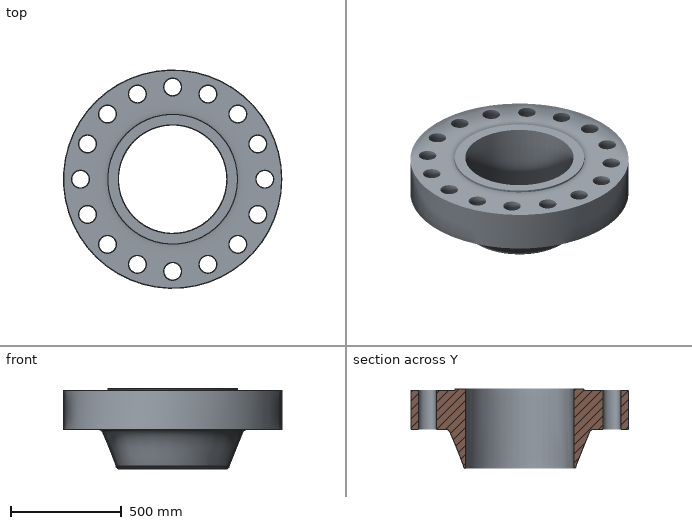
import cadquery as cq
import math

flange_diameter = 984.0
flange_thickness = 176.0
face_diameter = 585.0
face_height = 9.0
bore_diameter = 488.0

total_height = 362.0
neck_end_diameter = 510.0
neck_land_height = 6.0
bevel_height = 8.0
bevel_width = 10.0
cone_top_diameter = 632.0
root_fillet_height = 12.0

bolt_count = 16
bolt_circle_diameter = 831.0
bolt_hole_diameter = 79.0

face_top = total_height
flange_top = face_top - face_height
flange_bottom = flange_top - flange_thickness
cone_top = flange_bottom - root_fillet_height
cone_bottom = bevel_height + neck_land_height

bore_radius = bore_diameter / 2
flange_radius = flange_diameter / 2
face_radius = face_diameter / 2
neck_end_radius = neck_end_diameter / 2
cone_top_radius = cone_top_diameter / 2

cone_slope = math.atan2(cone_top - cone_bottom, cone_top_radius - neck_end_radius)
root_fillet_radius = root_fillet_height / (1 - math.cos(cone_slope))
fillet_outer_radius = cone_top_radius + root_fillet_radius * math.sin(cone_slope)
fillet_center_height = flange_bottom - root_fillet_radius
fillet_middle = (
    fillet_outer_radius - root_fillet_radius * math.sin(cone_slope / 2),
    fillet_center_height + root_fillet_radius * math.cos(cone_slope / 2),
)


def flange_body():
    """Half section in radius and height, revolved about the Z axis."""
    section = (
        cq.Workplane("XZ")
        .moveTo(bore_radius, 0)
        .lineTo(neck_end_radius - bevel_width, 0)
        .lineTo(neck_end_radius, bevel_height)
        .lineTo(neck_end_radius, cone_bottom)
        .lineTo(cone_top_radius, cone_top)
        .threePointArc(fillet_middle, (fillet_outer_radius, flange_bottom))
        .lineTo(flange_radius, flange_bottom)
        .lineTo(flange_radius, flange_top)
        .lineTo(face_radius, flange_top)
        .lineTo(face_radius, face_top)
        .lineTo(bore_radius, face_top)
        .close()
    )
    return section.revolve(360, (0, 0, 0), (0, 1, 0))


def bolt_holes():
    """Cutters for the evenly spaced bolt holes through the flange."""
    return (
        cq.Workplane("XY", origin=(0, 0, flange_bottom))
        .polarArray(bolt_circle_diameter / 2, 0, 360, bolt_count)
        .circle(bolt_hole_diameter / 2)
        .extrude(flange_thickness)
    )


result = flange_body().cut(bolt_holes())